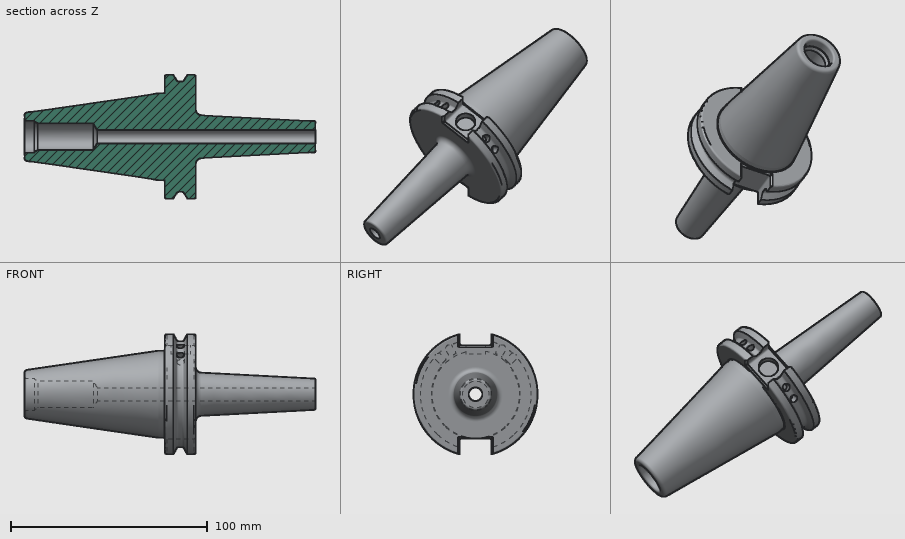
import cadquery as cq
import math


gauge_diameter = 44.45
taper_length = 68.25
taper_ratio = 7 / 24
shank_end_fillet = 1.8

flange_diameter = 63.35
flange_start = 3.18
flange_end = 19.05
shank_root_fillet = 0.35
flange_rim_fillet = 1.0
groove_center = 11.13
groove_floor_diameter = 56.36
groove_floor_width = 3.0
groove_floor_fillet = 1.0
groove_half_angle = 30

nose_end = 80
nose_tip_diameter = 16
nose_half_angle = 3
nose_root_fillet = 2.8
nose_tip_fillet = 1.0

slot_width = 16.25
upper_slot_floor = 25.0
lower_slot_floor = 22.6
slot_corner_fillet = 1.0
slot_edge_chamfer = 1.0

slot_hole_diameter = 10
slot_hole_depth = 4.4

balance_hole_diameter = 3.8
balance_hole_depth = 5
balance_hole_angles = (30, 45)

mouth_fillet = 1.05
counterbore_diameter = 16.2
counterbore_depth = 5
thread_entry_diameter = 15.6
thread_entry_half_angle = 30
thread_bore_diameter = 13.5
thread_bore_depth = 35
through_diameter = 6.8
drill_point_half_angle = 59


def run(rise, degrees):
    """Axial length over which a slope at this angle to the axis rises radially by `rise`."""
    return rise / math.tan(math.radians(degrees))


def revolve(outline):
    return cq.Workplane("XZ").polyline(outline).close().revolve(360, (0, 0, 0), (1, 0, 0))


def circle_edges(body, x, radius):
    """The circular edges of the body about the X axis at this position and radius."""
    tolerance = 1e-3

    def matches(edge):
        center = edge.Center()
        return (
            edge.geomType() == "CIRCLE"
            and abs(edge.startPoint().x - x) < tolerance
            and abs(center.x - x) < tolerance
            and abs(edge.radius() - radius) < tolerance
        )

    return body.edges().filter(matches)


def make_body():
    gauge_radius = gauge_diameter / 2
    shank_end_radius = gauge_radius - taper_length * taper_ratio / 2
    flange_radius = flange_diameter / 2
    floor_radius = groove_floor_diameter / 2
    tip_radius = nose_tip_diameter / 2
    root_radius = tip_radius + (nose_end - flange_end) * math.tan(math.radians(nose_half_angle))
    floor_half = groove_floor_width / 2
    mouth_half = floor_half + (flange_radius - floor_radius) * math.tan(math.radians(groove_half_angle))

    body = revolve(
        [
            (-taper_length, 0),
            (-taper_length, shank_end_radius),
            (0, gauge_radius),
            (flange_start, gauge_radius),
            (flange_start, flange_radius),
            (groove_center - mouth_half, flange_radius),
            (groove_center - floor_half, floor_radius),
            (groove_center + floor_half, floor_radius),
            (groove_center + mouth_half, flange_radius),
            (flange_end, flange_radius),
            (flange_end, root_radius),
            (nose_end, tip_radius),
            (nose_end, 0),
        ]
    )
    rounded_edges = [
        (-taper_length, shank_end_radius, shank_end_fillet),
        (flange_start, gauge_radius, shank_root_fillet),
        (flange_start, flange_radius, flange_rim_fillet),
        (groove_center - floor_half, floor_radius, groove_floor_fillet),
        (groove_center + floor_half, floor_radius, groove_floor_fillet),
        (flange_end, flange_radius, flange_rim_fillet),
        (flange_end, root_radius, nose_root_fillet),
        (nose_end, tip_radius, nose_tip_fillet),
    ]
    for x, radius, fillet in rounded_edges:
        body = circle_edges(body, x, radius).fillet(fillet)
    return body


def slot_section(x, floor):
    """Rectangle across X that reaches from the slot floor out past the flange rim."""
    top = flange_diameter / 2 + slot_edge_chamfer
    return cq.Workplane("YZ", origin=(x, 0, (floor + top) / 2)).rect(slot_width, top - floor)


def make_slot(floor):
    """Cutter for a drive slot on +Z: a channel with rounded corners that flares at both faces."""
    length = flange_end - flange_start
    channel = slot_section(flange_start, floor).extrude(length)
    channel = channel.edges("|X and <Z").fillet(slot_corner_fillet)

    flare = slot_section(flange_start + slot_edge_chamfer, floor).extrude(-slot_edge_chamfer, taper=-45)
    core_radius = gauge_diameter / 2 + shank_root_fillet
    core = cq.Workplane("YZ").circle(core_radius).extrude(flange_end)
    flare = flare.cut(core)
    middle = (flange_start + flange_end) / 2
    return channel.union(flare).union(flare.mirror("YZ", (middle, 0, 0)))


def make_slot_hole():
    return (
        cq.Workplane("XY", origin=(groove_center, 0, upper_slot_floor - slot_hole_depth))
        .circle(slot_hole_diameter / 2)
        .extrude(slot_hole_depth)
    )


def make_balance_hole(angle):
    bottom = groove_floor_diameter / 2 - balance_hole_depth
    hole = (
        cq.Workplane("XY", origin=(groove_center, 0, bottom))
        .circle(balance_hole_diameter / 2)
        .extrude(flange_diameter / 2 - bottom)
    )
    return hole.rotate((0, 0, 0), (1, 0, 0), angle)


def make_bore():
    counterbore_radius = counterbore_diameter / 2
    entry_radius = thread_entry_diameter / 2
    thread_radius = thread_bore_diameter / 2
    through_radius = through_diameter / 2

    entry = -taper_length
    counterbore_end = entry + counterbore_depth
    thread_start = counterbore_end + run(entry_radius - thread_radius, thread_entry_half_angle)
    thread_end = entry + thread_bore_depth
    point_end = thread_end + run(thread_radius - through_radius, drill_point_half_angle)
    return revolve(
        [
            (entry, 0),
            (entry, counterbore_radius),
            (counterbore_end, counterbore_radius),
            (counterbore_end, entry_radius),
            (thread_start, thread_radius),
            (thread_end, thread_radius),
            (point_end, through_radius),
            (nose_end, through_radius),
            (nose_end, 0),
        ]
    )


result = make_body().cut(make_slot(upper_slot_floor))
result = result.cut(make_slot(lower_slot_floor).rotate((0, 0, 0), (1, 0, 0), 180))
result = result.cut(make_slot_hole())
for hole_angle in balance_hole_angles:
    for side in (1, -1):
        result = result.cut(make_balance_hole(side * hole_angle))
result = result.cut(make_bore())
result = circle_edges(result, -taper_length, counterbore_diameter / 2).fillet(mouth_fillet)